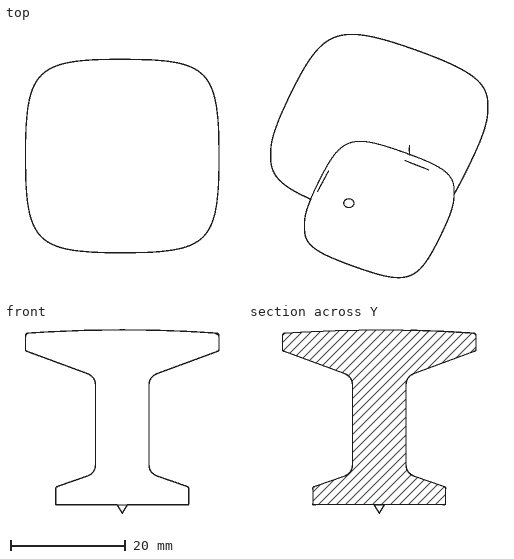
import cadquery as cq

HEAD_WIDTH = 33.8
STEM_WIDTH = 9.4
BASE_WIDTH = 23.25
CORNER_FULLNESS = 0.893

BASE_RIM_TOP = 3.15
BASE_FLARE_TOP = 5.55
HEAD_FLARE_BOTTOM = 22.38
HEAD_RIM_BOTTOM = 26.87
HEAD_TOP = 30.55
DOME_RADIUS = 236.6

HEAD_EDGE_RADIUS = 0.5
FLARE_EDGE_RADIUS = 0.35
BASE_EDGE_RADIUS = 0.5
BASE_BOTTOM_RADIUS = 0.25
STEM_FILLET_RADIUS = 1.93

SPIKE_Y = 5.75
SPIKE_LENGTH = 1.45
SPIKE_DIAMETER = 1.8


def soft_square(width, height):
    """Wire of a rounded square built from four cubic Bezier quarters."""
    half = width / 2
    handle = half * CORNER_FULLNESS
    outline = cq.Workplane("XY").workplane(offset=height).moveTo(half, 0)
    x_dir, y_dir = 1, 0
    for _ in range(4):
        next_x, next_y = -y_dir, x_dir
        control_points = [
            (half * x_dir + handle * next_x, half * y_dir + handle * next_y),
            (handle * x_dir + half * next_x, handle * y_dir + half * next_y),
            (half * next_x, half * next_y),
        ]
        outline = outline.bezier(control_points, includeCurrent=True)
        x_dir, y_dir = next_x, next_y
    return outline.close().wire().val()


def section(bottom_width, bottom, top_width, top):
    """Straight-sided solid between two rounded squares."""
    wires = [soft_square(bottom_width, bottom), soft_square(top_width, top)]
    return cq.Workplane(cq.Solid.makeLoft(wires, True))


def edges_at(body, width, height):
    """Outline edges of a rounded square of the given width and height."""
    margin = 0.05
    reach = width / 2 + margin
    return body.edges(cq.selectors.BoxSelector(
        (-reach, -reach, height - margin), (reach, reach, height + margin), boundingbox=True,
    ))


def make_knob():
    base = section(BASE_WIDTH, 0, BASE_WIDTH, BASE_RIM_TOP)
    base_flare = section(BASE_WIDTH, BASE_RIM_TOP, STEM_WIDTH, BASE_FLARE_TOP)
    stem = section(STEM_WIDTH, BASE_FLARE_TOP, STEM_WIDTH, HEAD_FLARE_BOTTOM)
    head_flare = section(STEM_WIDTH, HEAD_FLARE_BOTTOM, HEAD_WIDTH, HEAD_RIM_BOTTOM)
    head = section(HEAD_WIDTH, HEAD_RIM_BOTTOM, HEAD_WIDTH, HEAD_TOP)
    knob = base.union(base_flare).union(stem).union(head_flare).union(head)
    dome = cq.Workplane("XY").sphere(DOME_RADIUS).translate((0, 0, HEAD_TOP - DOME_RADIUS))
    knob = knob.intersect(dome)

    for height in (BASE_FLARE_TOP, HEAD_FLARE_BOTTOM):
        knob = edges_at(knob, STEM_WIDTH, height).fillet(STEM_FILLET_RADIUS)
    knob = edges_at(knob, BASE_WIDTH, BASE_RIM_TOP).fillet(BASE_EDGE_RADIUS)
    knob = edges_at(knob, HEAD_WIDTH, HEAD_RIM_BOTTOM).fillet(FLARE_EDGE_RADIUS)
    knob = edges_at(knob, BASE_WIDTH, 0).fillet(BASE_BOTTOM_RADIUS)
    return knob.faces(">Z").edges().fillet(HEAD_EDGE_RADIUS)


def make_spike():
    """Plain cone pointing down from the underside of the base."""
    cone = cq.Solid.makeCone(SPIKE_DIAMETER / 2, 0, SPIKE_LENGTH, dir=cq.Vector(0, 0, -1))
    return cq.Workplane(cone).translate((0, SPIKE_Y, 0))


result = make_knob().union(make_spike())